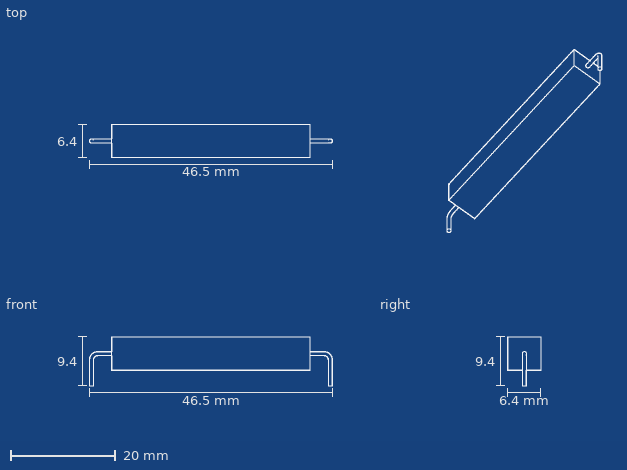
import cadquery as cq

body_length = 38.0
body_width = 6.4
body_height = 6.4

lead_diameter = 0.8
lead_pitch = 45.72
lead_drop = 3.0
bend_radius = 1.2

lead_radius = lead_diameter / 2
lead_x = lead_pitch / 2
axis_z = body_height / 2


def make_body():
    return cq.Workplane("XY").box(
        body_length, body_width, body_height, centered=(True, True, False)
    )


def make_leads():
    """Sweep one wire from lead tip to lead tip through the body's long axis."""
    bend_end_z = axis_z - bend_radius
    bend_start_x = lead_x - bend_radius
    path = (
        cq.Workplane("XZ")
        .moveTo(-lead_x, -lead_drop)
        .lineTo(-lead_x, bend_end_z)
        .tangentArcPoint((-bend_start_x, axis_z), relative=False)
        .lineTo(bend_start_x, axis_z)
        .tangentArcPoint((lead_x, bend_end_z), relative=False)
        .lineTo(lead_x, -lead_drop)
    )
    section = cq.Workplane("XY", origin=(-lead_x, 0, -lead_drop)).circle(lead_radius)
    return section.sweep(path)


result = make_body().union(make_leads())